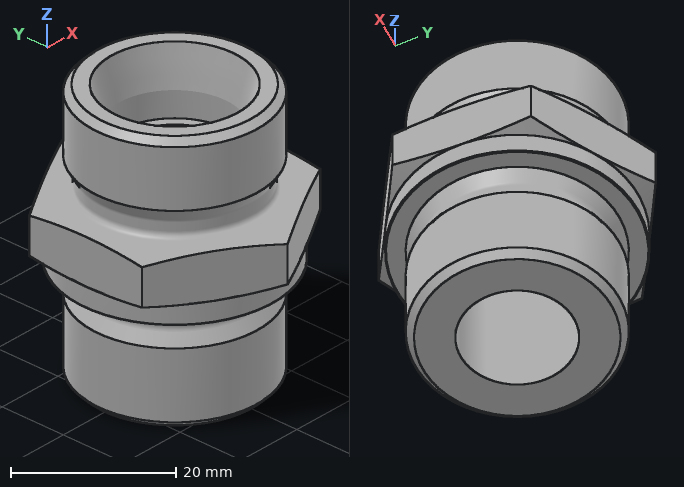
import cadquery as cq
import math

length = 40.5
lower_thread_top = 11.35
flange_bottom = 16.0
hex_bottom = 19.05
hex_top = 26.0

thread_diameter = 27.0
relief_diameter = 24.7
across_flats = 32.0

thread_chamfer = 1.0
flange_chamfer = 0.12
hex_chamfer_angle = 15.0
envelope_margin = 1.6
relief_cone_angle = 30.0
upper_relief_radius = 1.0
upper_relief_width = 4.58

bore_diameter = 15.0
socket_diameter = 18.0
socket_mouth_diameter = 20.57
socket_depth = 10.0
socket_taper_angle = 12.0

thread_radius = thread_diameter / 2
relief_radius = relief_diameter / 2
flange_radius = across_flats / 2
corner_radius = flange_radius / math.cos(math.radians(30))
cone_angle = math.radians(relief_cone_angle)


def polar_point(center_r, center_z, radius, angle):
    """Point on the axis-facing side of a circle, at an angle from the horizontal."""
    return (center_r - radius * math.cos(angle), center_z + radius * math.sin(angle))


def revolve(profile):
    return profile.close().revolve(360, (0, 0, 0), (0, 1, 0))


def make_lower_body():
    """Lower thread, V-shaped relief with a rounded root, and the round flange."""
    relief_middle = (lower_thread_top + flange_bottom) / 2
    half_width = (flange_bottom - lower_thread_top) / 2
    cone_drop = thread_radius - relief_radius
    root_radius = (half_width * math.sin(cone_angle) - cone_drop * math.cos(cone_angle)) / (
        1 - math.cos(cone_angle)
    )
    root_center = relief_radius + root_radius
    profile = (
        cq.Workplane("XZ")
        .lineTo(thread_radius - thread_chamfer, 0)
        .lineTo(thread_radius, thread_chamfer)
        .lineTo(thread_radius, lower_thread_top)
        .lineTo(*polar_point(root_center, relief_middle, root_radius, -cone_angle))
        .threePointArc(
            (relief_radius, relief_middle),
            polar_point(root_center, relief_middle, root_radius, cone_angle),
        )
        .lineTo(thread_radius, flange_bottom)
        .lineTo(flange_radius - flange_chamfer, flange_bottom)
        .lineTo(flange_radius, flange_bottom + flange_chamfer)
        .lineTo(flange_radius, hex_bottom)
        .lineTo(0, hex_bottom)
    )
    return revolve(profile)


def make_hexagon():
    """Hexagon with corners on the Y axis, chamfered by a cone at both ends."""
    blank = (
        cq.Workplane("XY", origin=(0, 0, hex_bottom))
        .polygon(6, 2 * corner_radius)
        .extrude(hex_top - hex_bottom)
        .rotate((0, 0, 0), (0, 0, 1), 90)
    )
    envelope_radius = corner_radius + envelope_margin
    drop = (envelope_radius - flange_radius) * math.tan(math.radians(hex_chamfer_angle))
    profile = (
        cq.Workplane("XZ")
        .moveTo(0, hex_bottom)
        .lineTo(flange_radius, hex_bottom)
        .lineTo(envelope_radius, hex_bottom + drop)
        .lineTo(envelope_radius, hex_top - drop)
        .lineTo(flange_radius, hex_top)
        .lineTo(0, hex_top)
    )
    return blank.intersect(revolve(profile))


def make_upper_body():
    """Upper thread with a relief: fillet onto the hexagon, neck, and cone."""
    radius = upper_relief_radius
    arc_center = relief_radius + radius
    thread_start = hex_top + upper_relief_width
    cone_start_radius = arc_center - radius * math.cos(cone_angle)
    cone_start = thread_start - (thread_radius - cone_start_radius) / math.tan(cone_angle)
    neck_top = cone_start - radius * math.sin(cone_angle)
    neck_bottom = hex_top + radius
    fillet_mid_angle = math.radians(45)
    profile = (
        cq.Workplane("XZ")
        .moveTo(0, hex_top)
        .lineTo(arc_center, hex_top)
        .threePointArc(
            polar_point(arc_center, neck_bottom, radius, -fillet_mid_angle),
            (relief_radius, neck_bottom),
        )
        .lineTo(relief_radius, neck_top)
        .threePointArc(
            polar_point(arc_center, neck_top, radius, cone_angle / 2),
            (cone_start_radius, cone_start),
        )
        .lineTo(thread_radius, thread_start)
        .lineTo(thread_radius, length - thread_chamfer)
        .lineTo(thread_radius - thread_chamfer, length)
        .lineTo(0, length)
    )
    return revolve(profile)


def make_bore():
    """Through bore, stepped tube socket, and tapered mouth as one cutting tool."""
    mouth_drop = (socket_mouth_diameter - socket_diameter) / 2
    taper_depth = mouth_drop / math.tan(math.radians(socket_taper_angle))
    profile = (
        cq.Workplane("XZ")
        .lineTo(bore_diameter / 2, 0)
        .lineTo(bore_diameter / 2, length - socket_depth)
        .lineTo(socket_diameter / 2, length - socket_depth)
        .lineTo(socket_diameter / 2, length - taper_depth)
        .lineTo(socket_mouth_diameter / 2, length)
        .lineTo(0, length)
    )
    return revolve(profile)


body = make_lower_body().union(make_hexagon()).union(make_upper_body())
result = body.cut(make_bore())